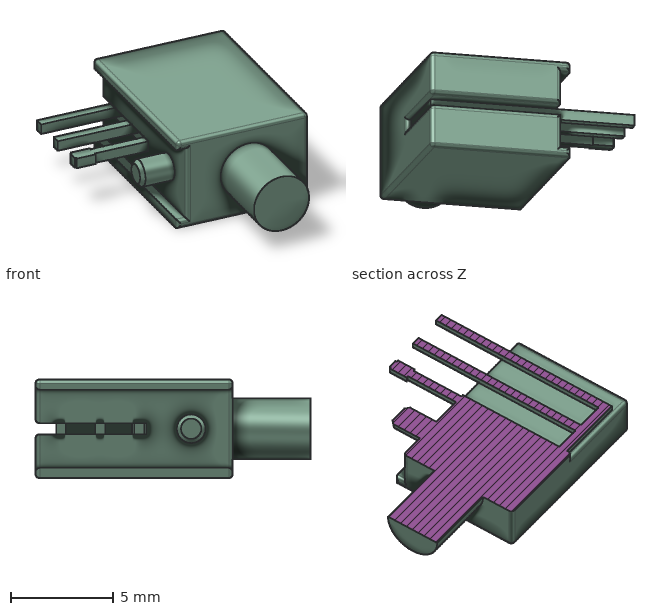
import cadquery as cq

body_length = 9.65
body_depth = 7.1
body_height = 4.83
edge_radius = 0.2

lip_height = 0.5
recess_depth = 0.48

overall_length = 13.46
barrel_diameter = 2.99
barrel_y = 3.84

post_diameter = 1.4
post_x = 7.62
post_reach = 1.29
post_chamfer = 0.2

slot_length = 4.71
slot_height = 0.54

pin_count = 3
pin_width = 0.48
pin_pitch = 1.91
pin_reach = 3.51
first_pin_x = 1.25
frame_inset = 0.27

pad_width = 0.7
pad_length = 1.02
pad_end_gap = 0.08


def centred_box(x_min, x_max, y_min, y_max, height):
    """Box between the given X and Y limits, centred on Z = 0."""
    box = cq.Workplane("XY").box(x_max - x_min, y_max - y_min, height, centered=(False, False, True))
    return box.translate((x_min, y_min, 0))


def make_housing():
    block = centred_box(0, body_length, 0, body_depth, body_height)
    recess = centred_box(0, body_length, 0, recess_depth, body_height - 2 * lip_height)
    slot = centred_box(0, slot_length, 0, body_depth, slot_height)
    housing = block.cut(recess).cut(slot)

    end_edges = housing.faces("<X or >X or >Y").edges()
    top_front_edge = housing.edges(">Z").edges("<Y")
    return housing.newObject(end_edges.vals() + top_front_edge.vals()).fillet(edge_radius)


def make_barrel():
    profile = cq.Workplane("YZ", origin=(slot_length, barrel_y, 0)).circle(barrel_diameter / 2)
    return profile.extrude(overall_length - slot_length)


def make_post():
    profile = cq.Workplane("XZ", origin=(post_x, recess_depth, 0)).circle(post_diameter / 2)
    post = profile.extrude(recess_depth + post_reach)
    return post.faces("<Y").chamfer(post_chamfer)


def make_lead_frame():
    frame_back = body_depth - frame_inset
    frame = centred_box(first_pin_x - pin_width / 2, slot_length, frame_back - pin_width, frame_back, slot_height)
    for index in range(pin_count):
        pin_x = first_pin_x + index * pin_pitch
        pin = centred_box(pin_x - pin_width / 2, pin_x + pin_width / 2, -pin_reach, frame_back, slot_height)
        frame = frame.union(pin)

    last_pin_x = first_pin_x + (pin_count - 1) * pin_pitch
    pad_front = pad_end_gap - pin_reach
    pad = centred_box(
        last_pin_x - pad_width / 2,
        last_pin_x + pad_width / 2,
        pad_front,
        pad_front + pad_length,
        slot_height,
    )
    return frame.union(pad)


result = make_housing().union(make_barrel()).union(make_post()).union(make_lead_frame())